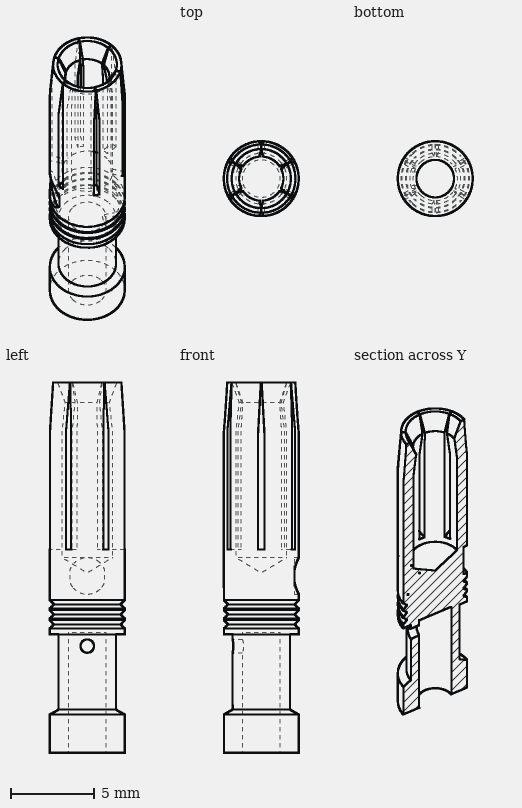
import cadquery as cq
import math


TOTAL_LENGTH = 22.2
BODY_R = 4.5 / 2
NECK_R = 3.45 / 2
COLLAR_TOP = 2.3
COLLAR_SLOPE = 30.0
FLANGE_BOTTOM = 7.1

GROOVE_START = 7.45
GROOVE_COUNT = 3
GROOVE_PITCH = 0.6
GROOVE_DEPTH = 0.25
GROOVE_WIDTH = 2 * GROOVE_DEPTH

TIP_LENGTH = 3.0
TIP_R = 4.1 / 2
TAPER_START = TOTAL_LENGTH - TIP_LENGTH
SQUEEZE = BODY_R - TIP_R

BORE_R = 3.05 / 2
MOUTH_R = 3.55 / 2
FUNNEL_DEPTH = 1.2
THROAT_R = BORE_R - SQUEEZE
BORE_BELOW_SLOTS = 0.5
DRILL_POINT_ANGLE = 118.0

SLOT_COUNT = 6
SLOT_LENGTH = 10.0
SLOT_WIDTH = 0.36
SLOT_TIP_WIDTH = 0.03
SLOT_BOTTOM = TOTAL_LENGTH - SLOT_LENGTH
FIRST_SLOT_ANGLE = 30.0

WIRE_BORE_R = 2.25 / 2
INSPECTION_HOLE_R = 0.8 / 2
INSPECTION_HOLE_Z = 6.4
WIRE_BORE_DEPTH = INSPECTION_HOLE_Z + 2 * INSPECTION_HOLE_R

RECESS_R = 2.2 / 2
RECESS_Z = 10.6
RECESS_DEPTH = 0.25


def make_body():
    """Solid of revolution: collar, neck, grooved flange, barrel and tapered tip."""
    slope_height = (BODY_R - NECK_R) * math.tan(math.radians(COLLAR_SLOPE))
    profile = (
        cq.Workplane("XZ")
        .moveTo(0, 0)
        .lineTo(BODY_R, 0)
        .lineTo(BODY_R, COLLAR_TOP)
        .lineTo(NECK_R, COLLAR_TOP + slope_height)
        .lineTo(NECK_R, FLANGE_BOTTOM)
        .lineTo(BODY_R, FLANGE_BOTTOM)
    )
    for index in range(GROOVE_COUNT):
        groove_bottom = GROOVE_START + index * GROOVE_PITCH
        profile = profile.lineTo(BODY_R, groove_bottom)
        profile = profile.lineTo(BODY_R - GROOVE_DEPTH, groove_bottom + GROOVE_WIDTH / 2)
        profile = profile.lineTo(BODY_R, groove_bottom + GROOVE_WIDTH)
    profile = (
        profile.lineTo(BODY_R, TAPER_START)
        .lineTo(TIP_R, TOTAL_LENGTH)
        .lineTo(0, TOTAL_LENGTH)
        .close()
    )
    return profile.revolve(360, (0, 0, 0), (0, 1, 0))


def make_socket_bore():
    """Pin cavity: drill point, straight bore, narrowing to a throat, funnel mouth."""
    shoulder = SLOT_BOTTOM - BORE_BELOW_SLOTS
    point_depth = BORE_R / math.tan(math.radians(DRILL_POINT_ANGLE / 2))
    return (
        cq.Workplane("XZ")
        .moveTo(0, shoulder - point_depth)
        .lineTo(BORE_R, shoulder)
        .lineTo(BORE_R, TAPER_START)
        .lineTo(THROAT_R, TOTAL_LENGTH - FUNNEL_DEPTH)
        .lineTo(MOUTH_R, TOTAL_LENGTH)
        .lineTo(0, TOTAL_LENGTH)
        .close()
        .revolve(360, (0, 0, 0), (0, 1, 0))
    )


def make_slot(angle):
    """Radial slot cutter: parallel along the barrel, closing up towards the tip."""
    half_width = SLOT_WIDTH / 2
    half_tip = SLOT_TIP_WIDTH / 2
    outline = [
        (-half_width, SLOT_BOTTOM),
        (half_width, SLOT_BOTTOM),
        (half_width, TAPER_START),
        (half_tip, TOTAL_LENGTH),
        (-half_tip, TOTAL_LENGTH),
        (-half_width, TAPER_START),
    ]
    cutter = cq.Workplane("YZ").polyline(outline).close().extrude(BODY_R)
    return cutter.rotate((0, 0, 0), (0, 0, 1), angle)


def make_wire_bore():
    """Blind bore for the wire, open at the bottom face."""
    return cq.Workplane("XY").circle(WIRE_BORE_R).extrude(WIRE_BORE_DEPTH)


def make_inspection_hole():
    """Cross hole through the -X wall of the neck into the wire bore."""
    return cq.Workplane("YZ").center(0, INSPECTION_HOLE_Z).circle(INSPECTION_HOLE_R).extrude(-NECK_R)


def make_marking_recess():
    """Flat-bottomed round recess in the +X side of the barrel."""
    floor = cq.Workplane("YZ").workplane(offset=BODY_R - RECESS_DEPTH)
    return floor.center(0, RECESS_Z).circle(RECESS_R).extrude(RECESS_DEPTH)


result = make_body().cut(make_socket_bore())
for slot_index in range(SLOT_COUNT):
    result = result.cut(make_slot(FIRST_SLOT_ANGLE + slot_index * 360 / SLOT_COUNT))
result = result.cut(make_wire_bore())
result = result.cut(make_inspection_hole())
result = result.cut(make_marking_recess())